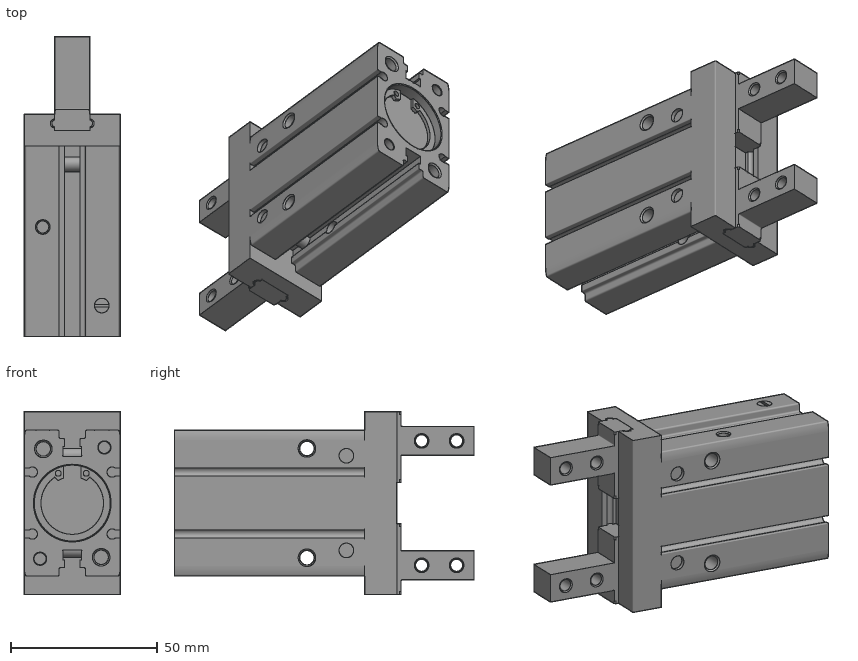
import cadquery as cq
import math


width = 33.0
half_width = width / 2
barrel_height = 50.0
half_height = barrel_height / 2
barrel_length = 65.15
plate_height = 62.6
plate_thickness = 11.0
plate_front = barrel_length + plate_thickness

crown_radius = 10.0
crown_rise = 3.45
crown_drop = crown_radius - math.sqrt(crown_radius**2 - crown_rise**2)
barrel_edge_fillet = 0.6
small_fillet = 0.3

slot_mouth_half = 4.5
slot_step_z = 22.05
slot_neck_half = 2.63
slot_neck_bottom_z = 19.45
slot_foot_half = 3.25
slot_floor_z = 16.0

groove_z = 10.6
groove_mouth = 2.8
groove_lip_fillet = 0.25
groove_round_diameter = 3.5
groove_round_x = 13.65

bore_diameter = 26.0
bore_chamfer = 0.3
bore_depth = 4.5
ring_thickness = 1.2
ring_inner_radius = 10.7
ring_gap_half = 2.93
ear_gap_corner_z = 8.63
ear_tip_x, ear_tip_z = 4.85, 7.7
ear_root_x = 6.0
ear_hole_diameter = 2.0
ear_hole_x, ear_hole_z = 4.8, 10.2

rear_m6_x, rear_m6_z = -9.9, 18.55
rear_m5_x, rear_m5_z = 11.0, 19.05
m6_drill, m6_mouth, m6_depth = 4.92, 6.0, 12.0
m5_drill, m5_mouth, m5_depth = 4.13, 5.0, 8.0
rear_m5_mouth = 4.5

mount_y, mount_z = 45.4, 18.7

pin_diameter = 5.0
pin_y, pin_z = 58.9, 16.2
pin_recess = 1.5

port_x, port_y = -10.1, 37.5
plug_x, plug_y = 10.1, 10.6
plug_diameter = 5.0
plug_length = 3.0
plug_slot_width = 0.9
plug_slot_depth = 0.8

finger_width = 12.0
finger_half_width = finger_width / 2
flange_length = 24.3
flange_back = 70.6
flange_front = 77.65
arm_length = 25.0
arm_thickness = 10.0
arm_z = 21.3
arm_root_fillet = 0.3
tip_hole_distances = (6.0, 18.0)
corner_bevel_x, corner_bevel_y, corner_bevel_length = 0.43, 0.6, 1.0

rib_y = 72.95
rib_radius = 1.25
rib_inset = 0.3
guide_mouth_radius = 1.5
guide_mouth_inset = 0.0
guide_mouth_depth = 1.0


def box(x_min, x_max, y_min, y_max, z_min, z_max):
    size = (x_max - x_min, y_max - y_min, z_max - z_min)
    return cq.Workplane("XY").box(*size, centered=False).translate((x_min, y_min, z_min))


def cylinder(diameter, length, start, direction):
    solid = cq.Solid.makeCylinder(diameter / 2, length, cq.Vector(*start), cq.Vector(*direction))
    return cq.Workplane(solid)


def tapered_mouth(drill, mouth, start, direction):
    """45 degree countersink that narrows from the mouth diameter to the drill diameter."""
    depth = (mouth - drill) / 2
    cone = cq.Solid.makeCone(mouth / 2, drill / 2, depth, cq.Vector(*start), cq.Vector(*direction))
    return cq.Workplane(cone)


def threaded_hole(drill, mouth, depth, start, direction):
    return cylinder(drill, depth, start, direction).union(tapered_mouth(drill, mouth, start, direction))


def cross_hole(drill, mouth, half_length, y, z):
    """Hole along X through both sides, countersunk at each side."""
    hole = cylinder(drill, 2 * half_length, (-half_length, y, z), (1, 0, 0))
    for side in (-1, 1):
        hole = hole.union(tapered_mouth(drill, mouth, (side * half_length, y, z), (-side, 0, 0)))
    return hole


def xz_prism(sketch, y_min, y_max):
    """Extrude a closed XZ outline from y_min to y_max."""
    return sketch.extrude(-(y_max - y_min)).translate((0, y_min, 0))


def fillet_long_edge(solid, corner, radius):
    """Round the edge along Y that passes through the given XZ corner of the barrel."""
    middle = (corner[0], barrel_length / 2, corner[1])
    return solid.edges(cq.selectors.NearestToPointSelector(middle)).fillet(radius)


def barrel():
    """Barrel extrusion: one quarter of the section, mirrored in X and Z."""
    crown_start_z = half_height - crown_rise
    half_angle = math.asin(crown_rise / crown_radius) / 2
    crown_mid = (
        half_width - crown_radius * (1 - math.cos(half_angle)),
        crown_start_z + crown_radius * math.sin(half_angle),
    )
    crown_top = (half_width - crown_drop, half_height)
    slot_top_corner = (slot_mouth_half, half_height)
    slot_step_corner = (slot_mouth_half, slot_step_z)
    neck_corner = (slot_neck_half, slot_step_z)
    outline = (
        cq.Workplane("XZ")
        .lineTo(half_width, 0)
        .lineTo(half_width, crown_start_z)
        .threePointArc(crown_mid, crown_top)
        .lineTo(*slot_top_corner)
        .lineTo(*slot_step_corner)
        .lineTo(*neck_corner)
        .lineTo(slot_neck_half, slot_neck_bottom_z)
        .lineTo(slot_foot_half, slot_neck_bottom_z)
        .lineTo(slot_foot_half, slot_floor_z)
        .lineTo(0, slot_floor_z)
        .close()
    )
    quarter = xz_prism(outline, 0, barrel_length)
    for corner in (crown_top, slot_top_corner, slot_step_corner):
        quarter = fillet_long_edge(quarter, corner, barrel_edge_fillet)
    quarter = fillet_long_edge(quarter, neck_corner, small_fillet)
    upper = quarter.union(quarter.mirror("YZ"))
    return upper.union(upper.mirror("XY")).clean()


def sensor_groove(side, z):
    mouth = box(
        groove_round_x, half_width, 0, barrel_length, z - groove_mouth / 2, z + groove_mouth / 2
    )
    round_bottom = cylinder(groove_round_diameter, barrel_length, (groove_round_x, 0, z), (0, 1, 0))
    groove = mouth.union(round_bottom)
    return groove if side > 0 else groove.mirror("YZ")


def rear_bore():
    bore = cylinder(bore_diameter, bore_depth, (0, 0, 0), (0, 1, 0))
    mouth_diameter = bore_diameter + 2 * bore_chamfer
    return bore.union(tapered_mouth(bore_diameter, mouth_diameter, (0, 0, 0), (0, 1, 0)))


def retaining_ring():
    """Open ring with two drilled ears, lying against the closed end of the bore."""
    bore_radius = bore_diameter / 2
    gap_top_z = math.sqrt(bore_radius**2 - ring_gap_half**2)
    ear_root_z = math.sqrt(ring_inner_radius**2 - ear_root_x**2)
    outline = (
        cq.Workplane("XZ")
        .moveTo(ring_gap_half, gap_top_z)
        .threePointArc((0, -bore_radius), (-ring_gap_half, gap_top_z))
        .lineTo(-ring_gap_half, ear_gap_corner_z)
        .lineTo(-ear_tip_x, ear_tip_z)
        .lineTo(-ear_root_x, ear_root_z)
        .threePointArc((0, -ring_inner_radius), (ear_root_x, ear_root_z))
        .lineTo(ear_tip_x, ear_tip_z)
        .lineTo(ring_gap_half, ear_gap_corner_z)
        .close()
    )
    ring_front = bore_depth - ring_thickness
    ring = xz_prism(outline, ring_front, bore_depth)
    for side in (-1, 1):
        start = (side * ear_hole_x, ring_front, ear_hole_z)
        ring = ring.cut(cylinder(ear_hole_diameter, ring_thickness, start, (0, 1, 0)))
    return ring


def guide_ribs(radius, inset, z_min, z_max):
    """Pair of round ribs along Z on the two sides of the finger guide."""
    ribs = cq.Workplane("XY")
    for side in (-1, 1):
        start = (side * (finger_half_width - inset), rib_y, z_min)
        ribs = ribs.add(cylinder(2 * radius, z_max - z_min, start, (0, 0, 1)))
    return ribs.combine()


def guide_channel():
    """Slot across the plate front that carries both fingers."""
    half = plate_height / 2
    channel = box(-finger_half_width, finger_half_width, flange_back, plate_front, -half, half)
    channel = channel.union(guide_ribs(rib_radius, rib_inset, -half, half))
    for z_min in (-half, half - guide_mouth_depth):
        mouths = guide_ribs(guide_mouth_radius, guide_mouth_inset, z_min, z_min + guide_mouth_depth)
        channel = channel.union(mouths)
    return channel


def make_housing():
    half_plate = plate_height / 2
    body = barrel()
    for z in (-groove_z, groove_z):
        for side in (-1, 1):
            body = body.cut(sensor_groove(side, z))
            for lip in (-1, 1):
                lip_corner = (side * half_width, z + lip * groove_mouth / 2)
                body = fillet_long_edge(body, lip_corner, groove_lip_fillet)
    plate = box(-half_width, half_width, barrel_length, plate_front, -half_plate, half_plate)
    plate = plate.edges("|Z and >Y").fillet(small_fillet)
    body = body.union(plate.cut(guide_channel()))

    body = body.cut(rear_bore()).union(retaining_ring())
    for turn in (-1, 1):
        m6_start = (turn * rear_m6_x, 0, turn * rear_m6_z)
        m5_start = (turn * rear_m5_x, 0, turn * rear_m5_z)
        body = body.cut(threaded_hole(m6_drill, m6_mouth, m6_depth, m6_start, (0, 1, 0)))
        body = body.cut(threaded_hole(m5_drill, rear_m5_mouth, m5_depth, m5_start, (0, 1, 0)))

    pin_half_length = half_width - pin_recess
    for side in (-1, 1):
        body = body.cut(cross_hole(m6_drill, m6_mouth, half_width, mount_y, side * mount_z))
        body = body.cut(cylinder(pin_diameter, width, (-half_width, pin_y, side * pin_z), (1, 0, 0)))
        pin_start = (-pin_half_length, pin_y, side * pin_z)
        body = body.union(cylinder(pin_diameter, 2 * pin_half_length, pin_start, (1, 0, 0)))

    port_start = (port_x, port_y, half_height)
    plug_start = (plug_x, plug_y, half_height)
    body = body.cut(threaded_hole(m5_drill, m5_mouth, m5_depth, port_start, (0, 0, -1)))
    return body.cut(cylinder(plug_diameter, plug_length, plug_start, (0, 0, -1)))


def make_plug():
    """Port plug flush with the top of the barrel, with a screwdriver slot along X."""
    plug = cylinder(plug_diameter, plug_length, (plug_x, plug_y, half_height), (0, 0, -1))
    slot = cq.Workplane("XY").box(plug_diameter, plug_slot_width, plug_slot_depth)
    return plug.cut(slot.translate((plug_x, plug_y, half_height - plug_slot_depth / 2)))


def corner_bevel(side, z_min):
    """Short bevel on the front side edge of a finger flange."""
    wedge = (
        cq.Workplane("XY")
        .moveTo(side * finger_half_width, flange_front)
        .lineTo(side * (finger_half_width - corner_bevel_x), flange_front)
        .lineTo(side * finger_half_width, flange_front - corner_bevel_y)
        .close()
        .extrude(corner_bevel_length)
    )
    return wedge.translate((0, 0, z_min))


def make_finger():
    """Upper finger: guided flange with ribs, and an arm with two cross holes."""
    outer_z = plate_height / 2
    inner_z = outer_z - flange_length
    arm_bottom = arm_z - arm_thickness / 2
    arm_top = arm_z + arm_thickness / 2
    tip_y = flange_front + arm_length
    finger = box(-finger_half_width, finger_half_width, flange_back, flange_front, inner_z, outer_z)
    arm = box(-finger_half_width, finger_half_width, flange_front, tip_y, arm_bottom, arm_top)
    root_edge = cq.selectors.NearestToPointSelector((0, flange_front, arm_top))
    finger = finger.union(arm).edges(root_edge).fillet(arm_root_fillet)
    finger = finger.union(guide_ribs(rib_radius, rib_inset, inner_z, outer_z))
    for side in (-1, 1):
        for z in (inner_z, outer_z - corner_bevel_length):
            finger = finger.cut(corner_bevel(side, z))
    for distance in tip_hole_distances:
        finger = finger.cut(cross_hole(m5_drill, m5_mouth, finger_half_width, tip_y - distance, arm_z))
    return finger


housing = make_housing()
plug = make_plug()
upper_finger = make_finger()
fingers = [upper_finger, upper_finger.mirror("XY")]

result = cq.Compound.makeCompound([housing.val(), plug.val(), *[finger.val() for finger in fingers]])